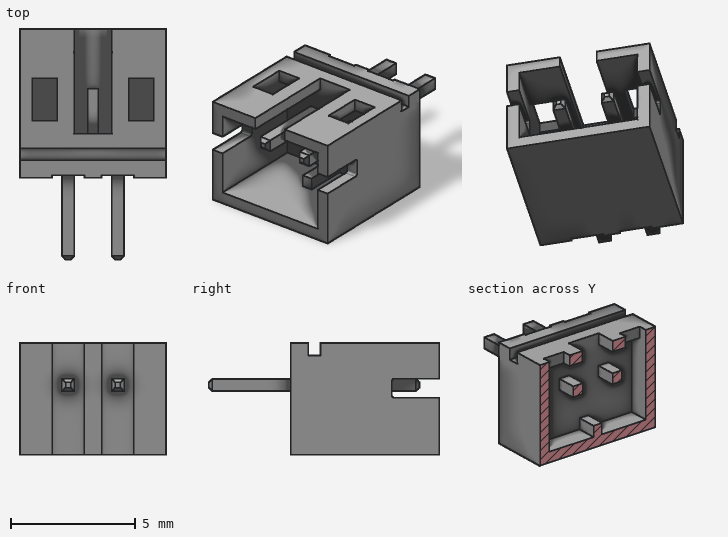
import cadquery as cq


body_width = 5.9
body_depth = 6.0
body_height = 4.5
wall = 0.5

cavity_depth = 4.21
cavity_width = body_width - 2 * wall
cavity_height = body_height - 2 * wall
cavity_floor_y = body_depth - cavity_depth

rib_width = 0.44
rib_length = 1.8
rib_height = 0.5

key_slot_width = 1.52
window_width = 1.01
window_length = 1.7
window_end_margin = 1.99

side_slot_depth = 1.92
side_slot_height = 0.76
side_slot_radius = 0.1

groove_offset = 0.72
groove_width = 0.48
groove_depth = 0.5

pin_pitch = 2.0
pin_size = 0.5
pin_length_overall = 8.5
overall_length = 9.3
pin_tail = overall_length - body_depth
pin_drop = 1.44
tip_length = 0.16
tip_flat = 0.2
pin_top_z = body_height - pin_drop
pin_z = pin_top_z - pin_size / 2
pin_positions = (-pin_pitch / 2, pin_pitch / 2)

relief_width = 1.3
relief_depth = 0.1


def block(width, depth, height, x, y, z):
    """Box centred on x that starts at y and z."""
    box = cq.Workplane("XY").box(width, depth, height, centered=(True, False, False))
    return box.translate((x, y, z))


def make_side_slot():
    """Cutter through both side walls with rounded inner corners."""
    start_y = body_depth - side_slot_depth
    start_z = pin_top_z - side_slot_height
    slot = block(body_width, side_slot_depth, side_slot_height, 0, start_y, start_z)
    return slot.faces("<Y").edges("|X").fillet(side_slot_radius)


def make_tip(x, base_y, direction):
    """Tapered pin end; direction is +1 toward +Y and -1 toward -Y."""
    plane = cq.Plane(origin=(x, base_y, pin_z), xDir=(1, 0, 0), normal=(0, direction, 0))
    base = cq.Workplane(plane).rect(pin_size, pin_size)
    return base.workplane(offset=tip_length).rect(tip_flat, tip_flat).loft(ruled=True)


def make_pin(x):
    """Square pin tapered at both ends."""
    start_y = tip_length - pin_tail
    shaft_length = pin_length_overall - 2 * tip_length
    shaft = block(pin_size, shaft_length, pin_size, x, start_y, pin_z - pin_size / 2)
    tail_tip = make_tip(x, start_y, -1)
    mating_tip = make_tip(x, start_y + shaft_length, 1)
    return shaft.union(tail_tip).union(mating_tip)


def make_shroud():
    top_wall_z = body_height - wall
    shroud = block(body_width, body_depth, body_height, 0, 0, 0)
    shroud = shroud.cut(block(cavity_width, cavity_depth, cavity_height, 0, cavity_floor_y, wall))
    shroud = shroud.union(block(rib_width, rib_length, rib_height, 0, cavity_floor_y, wall))
    shroud = shroud.cut(block(key_slot_width, cavity_depth, wall, 0, cavity_floor_y, top_wall_z))
    shroud = shroud.cut(make_side_slot())

    window_x = (cavity_width - window_width) / 2
    window_y = body_depth - window_end_margin - window_length
    for x in (-window_x, window_x):
        shroud = shroud.cut(block(window_width, window_length, wall, x, window_y, top_wall_z))

    groove_z = body_height - groove_depth
    shroud = shroud.cut(block(body_width, groove_width, groove_depth, 0, groove_offset, groove_z))
    for x in pin_positions:
        shroud = shroud.cut(block(relief_width, relief_depth, body_height, x, 0, 0))
    return shroud


result = make_shroud()
for pin_x in pin_positions:
    result = result.union(make_pin(pin_x))